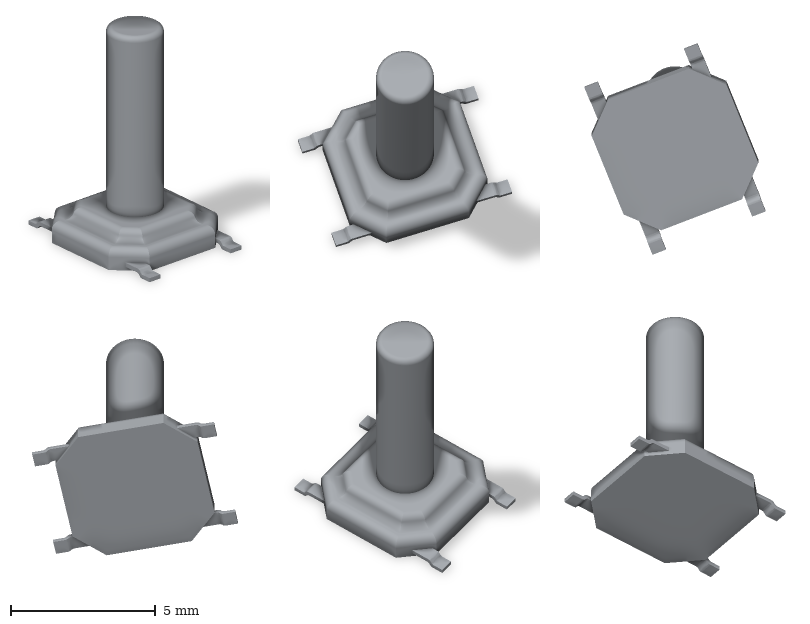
import cadquery as cq
import math

body_width = 5.0
corner_cut = 1.0
wall_height = 0.5
shoulder_radius = 0.3
step_height = 0.4
step_top_half_width = 1.5
step_arc_radius = 0.3

plunger_radius = 1.0
plunger_round = 0.2
overall_height = 8.0

lead_span = 6.4
lead_width = 0.5
lead_thickness = 0.15
lead_rise = 0.15
lead_center_y = 1.85
lead_inner_x = 1.5
foot_bend_x = 2.84
upper_bend_x = 2.59
underside_shift = 0.05

step_arc_run = math.sqrt(step_arc_radius**2 - (step_arc_radius - step_height / 2) ** 2)
half_width = body_width / 2
diagonal_half_width = (body_width - corner_cut) / math.sqrt(2)
shoulder_height = wall_height + shoulder_radius
step_top = shoulder_height + step_height


def housing_slab(half_distance, angle):
    """Long prism of the housing profile, its walls half_distance from the axis, turned about Z."""
    inset = half_width - half_distance
    top = step_top_half_width - inset
    middle = top + step_arc_run
    foot = middle + step_arc_run
    shoulder = half_distance - shoulder_radius
    step_middle = shoulder_height + step_height / 2

    right_half = (
        cq.Workplane("XZ")
        .moveTo(0, 0)
        .lineTo(half_distance, 0)
        .lineTo(half_distance, wall_height)
        .tangentArcPoint((shoulder, shoulder_height), relative=False)
        .lineTo(foot, shoulder_height)
        .tangentArcPoint((middle, step_middle), relative=False)
        .tangentArcPoint((top, step_top), relative=False)
        .lineTo(0, step_top)
        .close()
        .extrude(body_width, both=True)
    )
    slab = right_half.union(right_half.mirror("YZ"))
    return slab.rotate((0, 0, 0), (0, 0, 1), angle)


def make_housing():
    """Octagonal housing: the common volume of four slabs, one per pair of opposite walls."""
    housing = housing_slab(half_width, 0)
    housing = housing.intersect(housing_slab(half_width, 90))
    for angle in (45, 135):
        housing = housing.intersect(housing_slab(diagonal_half_width, angle))
    return housing


def make_plunger():
    """Round plunger standing on the step, its top edge rounded."""
    height = overall_height - shoulder_height
    base = cq.Workplane("XY").workplane(offset=shoulder_height)
    return base.circle(plunger_radius).extrude(height).faces(">Z").edges().fillet(plunger_round)


def make_lead():
    """One gull-wing lead on the +X side, centred on the XZ plane, with a smooth S bend down to its foot."""
    tip_x = lead_span / 2
    upper_top = lead_rise + lead_thickness
    foot_top_start = (foot_bend_x, lead_thickness)
    upper_bottom_end = (upper_bend_x - underside_shift, lead_rise)
    outward = (1, 0)
    inward = (-1, 0)

    return (
        cq.Workplane("XZ", origin=(0, lead_width / 2, 0))
        .moveTo(lead_inner_x, upper_top)
        .lineTo(upper_bend_x, upper_top)
        .spline([foot_top_start], tangents=[outward, outward], includeCurrent=True)
        .lineTo(tip_x, lead_thickness)
        .lineTo(tip_x, 0)
        .lineTo(foot_bend_x - underside_shift, 0)
        .spline([upper_bottom_end], tangents=[inward, inward], includeCurrent=True)
        .lineTo(lead_inner_x, lead_rise)
        .close()
        .extrude(lead_width)
    )


result = make_housing().union(make_plunger())
for side in (0, 180):
    for y in (-lead_center_y, lead_center_y):
        lead = make_lead().translate((0, y, 0)).rotate((0, 0, 0), (0, 0, 1), side)
        result = result.union(lead)